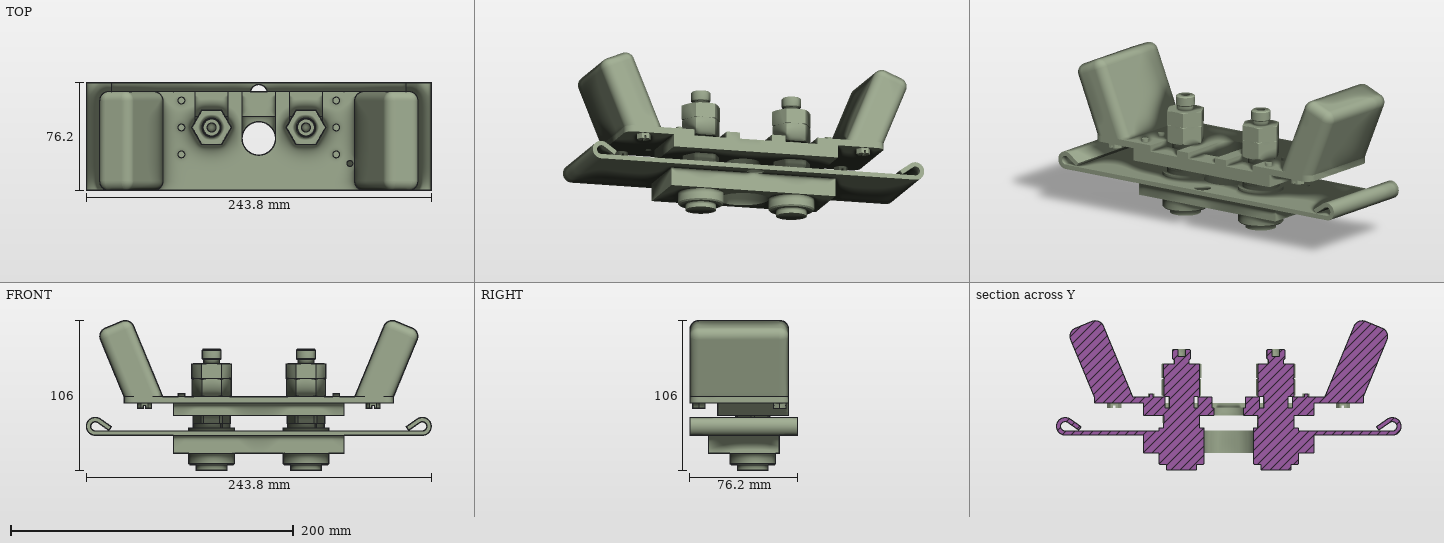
import cadquery as cq
import math

overall_length = 243.84
overall_height = 105.97
overlap = 0.5

stud_foot_height = 3.9
stud_head_height = 8.2
lower_block_height = 12.7
clip_thickness = 3.175
flat_washer_height = 2.1
lock_washer_height = 3.2
jam_nut_height = 5.4
upper_block_height = 8.9
saddle_thickness = 4.5
lower_nut_height = 12.9
upper_nut_height = 10.5
stud_neck_height = 2.8
stud_tip_height = 7.4

lower_block_z = stud_foot_height + stud_head_height
clip_z = lower_block_z + lower_block_height
flat_washer_z = clip_z + clip_thickness
lock_washer_z = flat_washer_z + flat_washer_height
jam_nut_z = lock_washer_z + lock_washer_height
upper_block_z = jam_nut_z + jam_nut_height
saddle_z = upper_block_z + upper_block_height
saddle_top_z = saddle_z + saddle_thickness
upper_nut_z = saddle_top_z + lower_nut_height
stud_neck_z = upper_nut_z + upper_nut_height
stud_tip_z = stud_neck_z + stud_neck_height

clip_width = 76.2
hem_outer_radius = 6.35
hem_tail_angle = math.radians(35)
hem_tail_length = 9.5
notch_hole_radius = 6.0
notch_hole_y = 30.6
rivet_hole_y = -19.05

block_length = 120.65
block_width = 50.2
lower_block_y = 0.0

saddle_length = 190.5
saddle_front_y = -clip_width / 2
saddle_back_y = 31.75
upper_block_y = saddle_back_y - block_width / 2
corner_radius = 6.35
slot_width = 23.5
pocket_depth = 3.2
pocket_back_y = 14.25
bore_y = -1.4
lower_bore_radius = 18.3
pilot_hole_radius = 2.1
pilot_hole_x = 64.4
pilot_hole_y = -19.1

pad_tilt = 22.5
pad_thickness = 25.4

stud_x = 33.34
stud_y = 6.35
stud_foot_radius = 10.9
stud_head_radius = 16.2
stud_head_chamfer = 1.0
stud_core_radius = 9.0
stud_neck_radius = 5.7
stud_tip_radius = 6.8
stud_tip_chamfer = 0.8
stud_socket_radius = 3.15
stud_socket_depth = 5.0
flat_washer_radius = 16.2
lock_washer_radius = 13.1
lock_washer_gap = 1.5
lock_washer_gap_angle = -58
nut_across_flats = 24.1
upper_nut_across_flats = 24.4
jam_nut_turned_radius = 13.3
nut_chamfer_radius = 12.5
nut_chamfer_width = 2.0
lower_nut_chamfer_height = 1.1
upper_nut_chamfer_height = 0.5

rivet_x = 54.7
rivet_radius = 2.4
rivet_projection = 2.2
rivet_y_positions = (-12.7, 6.35, 25.4)
screw_x = 80.8
screw_y_positions = (-31.75, 25.4)
screw_across_flats = 8.7
screw_head_height = 3.7
screw_slot_width = 1.6
screw_slot_depth = 2.0


def cylinder(x, y, z, radius, height):
    return cq.Workplane("XY", origin=(x, y, z)).circle(radius).extrude(height)


def hexagon(x, y, z, across_flats, height):
    """Hexagonal prism with two corners on the X direction."""
    corner_diameter = across_flats / math.cos(math.pi / 6)
    return cq.Workplane("XY", origin=(x, y, z)).polygon(6, corner_diameter).extrude(height)


def block(y_centre, z, height):
    """Rectangular block centred on X."""
    return (
        cq.Workplane("XY", origin=(0, y_centre, z))
        .rect(block_length, block_width)
        .extrude(height)
    )


def hem():
    """Curl and tail at the -X end of the clip plate."""
    inner_radius = hem_outer_radius - clip_thickness
    centre_x = -overall_length / 2 + hem_outer_radius
    centre_z = clip_z + hem_outer_radius
    normal_x = math.sin(hem_tail_angle)
    normal_z = math.cos(hem_tail_angle)

    def on_curl(radius, tail_distance=0.0):
        return (
            centre_x + radius * normal_x + tail_distance * normal_z,
            centre_z + radius * normal_z - tail_distance * normal_x,
        )

    return (
        cq.Workplane("XZ", origin=(0, clip_width / 2, 0))
        .moveTo(centre_x, clip_z)
        .threePointArc((centre_x - hem_outer_radius, centre_z), on_curl(hem_outer_radius))
        .lineTo(*on_curl(hem_outer_radius, hem_tail_length))
        .lineTo(*on_curl(inner_radius, hem_tail_length))
        .lineTo(*on_curl(inner_radius))
        .threePointArc((centre_x - inner_radius, centre_z), (centre_x, clip_z + clip_thickness))
        .close()
        .extrude(clip_width)
    )


def clip_plate():
    flat_length = overall_length - 2 * hem_outer_radius
    strip = cq.Workplane("XY", origin=(0, 0, clip_z)).rect(flat_length, clip_width).extrude(clip_thickness)
    strip = strip.cut(cylinder(0, notch_hole_y, clip_z, notch_hole_radius, clip_thickness))
    for x in (-rivet_x, rivet_x):
        strip = strip.cut(cylinder(x, rivet_hole_y, clip_z, rivet_radius, clip_thickness))
    left_hem = hem()
    return strip.union(left_hem).union(left_hem.mirror("YZ"))


def slot(x, end_y, back_y, z, height):
    """Slot body along Y, round at its -Y end and square at its +Y end."""
    half = slot_width / 2
    return (
        cq.Workplane("XY", origin=(x, 0, z))
        .moveTo(-half, back_y)
        .lineTo(-half, end_y)
        .threePointArc((0, end_y - half), (half, end_y))
        .lineTo(half, back_y)
        .close()
        .extrude(height)
    )


def pad():
    """Rounded pad at the -X end, leaning outwards from the saddle plate."""
    tilt = math.radians(pad_tilt)
    width = saddle_back_y - saddle_front_y
    centre_y = (saddle_back_y + saddle_front_y) / 2
    rise_to_round = (
        overall_height - saddle_top_z - corner_radius - (pad_thickness - corner_radius) * math.sin(tilt)
    )
    length = corner_radius + rise_to_round / math.cos(tilt)
    root = pad_thickness
    body = (
        cq.Workplane("XY")
        .box(pad_thickness, width, length + root, centered=(False, True, False))
        .edges("|Z or >Z")
        .fillet(corner_radius)
        .translate((0, 0, -root))
        .rotate((0, 0, 0), (0, 1, 0), -pad_tilt)
        .translate((-saddle_length / 2, centre_y, saddle_top_z))
    )
    keep = (
        cq.Workplane("XY", origin=(0, centre_y, saddle_top_z))
        .rect(2 * overall_length, 2 * width)
        .extrude(overall_height)
    )
    return body.intersect(keep)


def saddle():
    """Saddle plate on its block, slotted, with both pads."""
    plate_width = saddle_back_y - saddle_front_y
    plate = (
        cq.Workplane("XY", origin=(0, (saddle_back_y + saddle_front_y) / 2, saddle_z))
        .rect(saddle_length, plate_width)
        .extrude(saddle_thickness)
        .edges("|Z")
        .fillet(corner_radius)
    )
    plate = plate.cut(cylinder(pilot_hole_x, pilot_hole_y, saddle_z, pilot_hole_radius, saddle_thickness))
    body = plate.union(block(upper_block_y, upper_block_z, upper_block_height))
    for x, end_y in ((-stud_x, stud_y), (0, bore_y), (stud_x, stud_y)):
        body = body.cut(slot(x, end_y, saddle_back_y, saddle_z, saddle_thickness))
        body = body.cut(slot(x, end_y, pocket_back_y, saddle_z - pocket_depth, pocket_depth))
    left_pad = pad()
    return body.union(left_pad).union(left_pad.mirror("YZ"))


def lock_washer(x):
    ring = cylinder(x, stud_y, lock_washer_z, lock_washer_radius, lock_washer_height)
    gap = (
        cq.Workplane("XY")
        .box(lock_washer_radius, lock_washer_gap, lock_washer_height, centered=(False, True, False))
        .translate((stud_core_radius, 0, 0))
        .rotate((0, 0, 0), (0, 0, 1), lock_washer_gap_angle)
        .translate((x, stud_y, lock_washer_z))
    )
    return ring.cut(gap)


def jam_nut(x):
    """Thin nut whose corners are turned down to a cylinder."""
    hexagonal = hexagon(x, stud_y, jam_nut_z, nut_across_flats, jam_nut_height)
    return hexagonal.intersect(cylinder(x, stud_y, jam_nut_z, jam_nut_turned_radius, jam_nut_height))


def chamfered_nut(x, z, across_flats, height, chamfer_height, faces):
    """Nut with its corners chamfered at the selected faces."""
    blank_radius = nut_chamfer_radius + nut_chamfer_width
    blank = (
        cylinder(x, stud_y, z, blank_radius, height)
        .faces(faces)
        .chamfer(chamfer_height, nut_chamfer_width)
    )
    return hexagon(x, stud_y, z, across_flats, height).intersect(blank)


def lower_nut(x):
    return chamfered_nut(
        x, saddle_top_z, nut_across_flats, lower_nut_height, lower_nut_chamfer_height, "<Z or >Z"
    )


def upper_nut(x):
    return chamfered_nut(
        x, upper_nut_z, upper_nut_across_flats, upper_nut_height, upper_nut_chamfer_height, ">Z"
    )


def stud(x):
    foot = cylinder(x, stud_y, 0, stud_foot_radius, stud_foot_height)
    head = (
        cylinder(x, stud_y, stud_foot_height, stud_head_radius, stud_head_height)
        .faces("<Z")
        .chamfer(stud_head_chamfer)
    )
    core = cylinder(x, stud_y, lower_block_z - overlap, stud_core_radius, stud_neck_z - lower_block_z)
    neck = cylinder(x, stud_y, stud_neck_z - overlap, stud_neck_radius, stud_neck_height + overlap)
    tip = (
        cylinder(x, stud_y, stud_tip_z, stud_tip_radius, stud_tip_height)
        .faces("<Z or >Z")
        .chamfer(stud_tip_chamfer)
    )
    socket_z = stud_tip_z + stud_tip_height - stud_socket_depth
    tip = tip.cut(cylinder(x, stud_y, socket_z, stud_socket_radius, stud_socket_depth))
    return foot.union(head).union(core).union(neck).union(tip)


def stud_assembly(x):
    return (
        stud(x)
        .union(cylinder(x, stud_y, flat_washer_z, flat_washer_radius, flat_washer_height))
        .union(lock_washer(x))
        .union(jam_nut(x))
        .union(lower_nut(x))
        .union(upper_nut(x))
    )


def rivet(x, y):
    return cylinder(x, y, saddle_top_z - overlap, rivet_radius, rivet_projection + overlap)


def screw_head(x, y):
    """Hexagon head under the saddle plate with a driver slot along Y."""
    head_z = saddle_z - screw_head_height
    head = hexagon(x, y, head_z, screw_across_flats, screw_head_height + overlap)
    driver_slot = (
        cq.Workplane("XY", origin=(x, y, head_z))
        .rect(screw_slot_width, 2 * screw_across_flats)
        .extrude(screw_slot_depth)
    )
    return head.cut(driver_slot)


lower_body = block(lower_block_y, lower_block_z, lower_block_height).union(clip_plate())
lower_bore_depth = lower_block_height + clip_thickness
lower_body = lower_body.cut(cylinder(0, bore_y, lower_block_z, lower_bore_radius, lower_bore_depth))
upper_body = saddle().cut(cylinder(0, bore_y, upper_block_z, slot_width / 2, upper_block_height))
result = lower_body.union(upper_body)
for side in (-1, 1):
    result = result.union(stud_assembly(side * stud_x))
    for y in rivet_y_positions:
        result = result.union(rivet(side * rivet_x, y))
    for y in screw_y_positions:
        result = result.union(screw_head(side * screw_x, y))